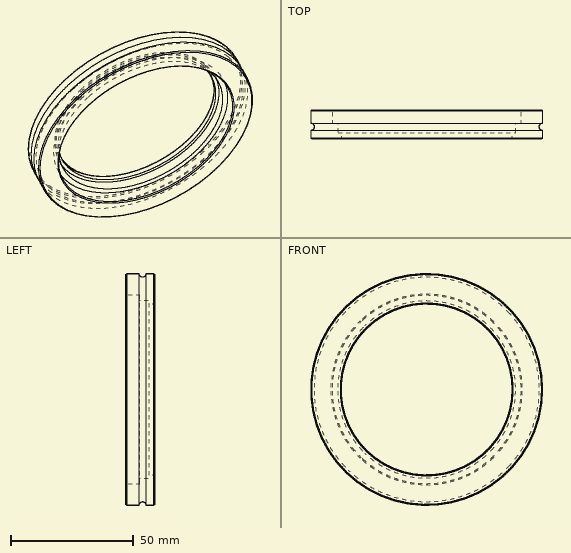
import cadquery as cq

outer_radius = 47.5
width = 12.0
front_y = -width / 2
back_y = width / 2
edge_chamfer = 0.5

bore_radius = 35.0
middle_step_radius = 36.4
back_step_radius = 38.7
middle_step_y = -3.5
back_step_y = 0.4

groove_radius = 1.4
groove_y = -0.95


def ring_half_section():
    """Radius along X, ring axis along Y."""
    return (
        cq.Workplane("XY")
        .moveTo(bore_radius + edge_chamfer, front_y)
        .lineTo(outer_radius - edge_chamfer, front_y)
        .lineTo(outer_radius, front_y + edge_chamfer)
        .lineTo(outer_radius, groove_y - groove_radius)
        .threePointArc(
            (outer_radius - groove_radius, groove_y),
            (outer_radius, groove_y + groove_radius),
        )
        .lineTo(outer_radius, back_y - edge_chamfer)
        .lineTo(outer_radius - edge_chamfer, back_y)
        .lineTo(back_step_radius + edge_chamfer, back_y)
        .lineTo(back_step_radius, back_y - edge_chamfer)
        .lineTo(back_step_radius, back_step_y)
        .lineTo(middle_step_radius, back_step_y)
        .lineTo(middle_step_radius, middle_step_y)
        .lineTo(bore_radius, middle_step_y)
        .lineTo(bore_radius, front_y + edge_chamfer)
        .close()
    )


result = ring_half_section().revolve(360, (0, 0, 0), (0, 1, 0))